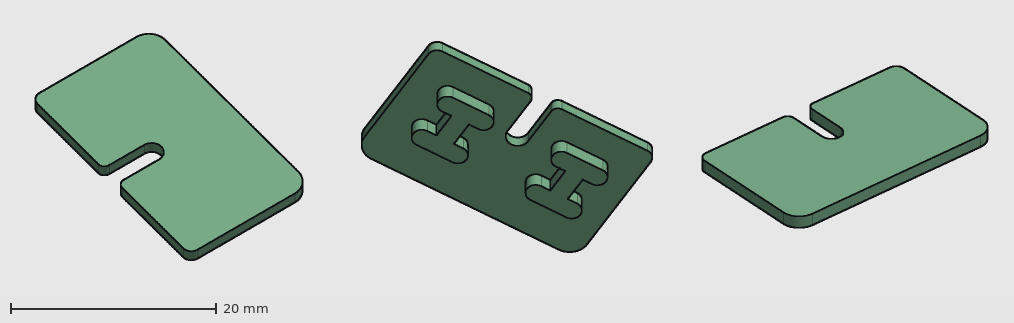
import cadquery as cq

plate_length = 25.4
plate_depth = 14.9
plate_thickness = 1.35
back_corner_radius = 2.0
front_corner_radius = 1.0

slot_width = 2.35
slot_depth = 6.25
slot_mouth_radius = 0.75

total_height = 3.05
foot_height = total_height - plate_thickness
foot_spacing = 13.0
bar_length = 6.1
bar_width = 2.0
bar_spacing = 4.8
front_bar_setback = 4.2
web_width = bar_width

front_edge_y = -plate_depth / 2


def make_plate():
    """Rounded plate, centred on X and Y, with its underside at Z = 0."""
    plate = cq.Workplane("XY").box(
        plate_length, plate_depth, plate_thickness, centered=(True, True, False)
    )
    plate = plate.edges("|Z and >Y").fillet(back_corner_radius)
    return plate.edges("|Z and <Y").fillet(front_corner_radius)


def cut_slot(plate):
    """Cut the centred front slot and round the two corners of its mouth."""
    half_width = slot_width / 2
    mouth_x = half_width + slot_mouth_radius
    mouth_y = front_edge_y + slot_mouth_radius
    slot_tip_y = front_edge_y + slot_depth
    slot = (
        cq.Workplane("XY")
        .moveTo(-mouth_x, front_edge_y)
        .radiusArc((-half_width, mouth_y), -slot_mouth_radius)
        .lineTo(-half_width, slot_tip_y - half_width)
        .threePointArc((0, slot_tip_y), (half_width, slot_tip_y - half_width))
        .lineTo(half_width, mouth_y)
        .radiusArc((mouth_x, front_edge_y), -slot_mouth_radius)
        .close()
        .extrude(plate_thickness)
    )
    return plate.cut(slot)


def make_foot(center_x):
    """I-shaped foot hanging below the plate: front and back bars with a web between them."""
    center_y = front_edge_y + front_bar_setback + bar_spacing / 2
    base = cq.Workplane("XY").center(center_x, center_y)
    bar_offset = bar_spacing / 2
    bars = (
        base.pushPoints([(0, -bar_offset), (0, bar_offset)])
        .slot2D(bar_length, bar_width)
        .extrude(-foot_height)
    )
    web = base.rect(web_width, bar_spacing).extrude(-foot_height)
    return bars.union(web)


result = cut_slot(make_plate())
for side in (-1, 1):
    result = result.union(make_foot(side * foot_spacing / 2))